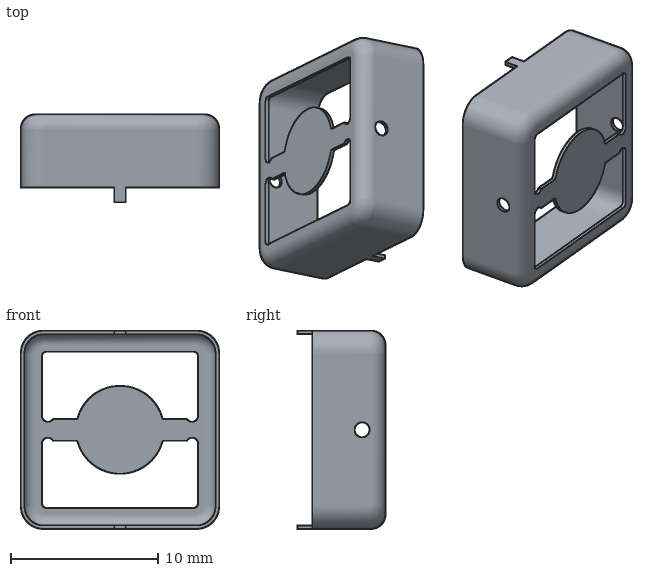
import cadquery as cq
import math

side = 13.5
depth = 5.0
wall = 0.25
corner_radius = 1.55
edge_radius = 1.0

window_side = 10.6
window_corner_radius = 0.3
bar_width = 1.5
disc_radius = 3.0
disc_blend_radius = 0.1
relief_radius = 0.4
relief_depth = 0.2

tab_width = 0.8
tab_length = 1.0

cross_hole_diameter = 1.0
cross_hole_from_back = 1.6

back_y = depth / 2
rim_y = -depth / 2


def rounded_block(width, start_y, end_y, corner, back_edge):
    """Square block along Y with rounded corners and a rounded +Y edge."""
    block = cq.Workplane("XY").box(width, end_y - start_y, width)
    block = block.translate((0, (start_y + end_y) / 2, 0))
    block = block.edges("|Y").fillet(corner)
    return block.faces(">Y").edges().fillet(back_edge)


def make_shell():
    """Cup of even wall thickness, inner and outer roundings concentric."""
    outer = rounded_block(side, rim_y, back_y, corner_radius, edge_radius)
    cavity = rounded_block(
        side - 2 * wall, rim_y, back_y - wall, corner_radius - wall, edge_radius - wall
    )
    return outer.cut(cavity)


def make_window_half():
    """Cutter for the window opening above the bar."""
    half_window = window_side / 2
    half_bar = bar_width / 2

    relief_x = half_window - relief_radius
    relief_z = half_bar - relief_depth + relief_radius
    relief_inner_x = relief_x - math.sqrt(relief_radius**2 - (relief_z - half_bar) ** 2)
    relief_bottom_z = relief_z - relief_radius

    blend_z = half_bar + disc_blend_radius
    blend_x = math.sqrt((disc_radius + disc_blend_radius) ** 2 - blend_z**2)
    blend_angle = math.atan2(blend_z, blend_x)
    disc_x = disc_radius * math.cos(blend_angle)
    disc_z = disc_radius * math.sin(blend_angle)
    toward_disc = blend_angle + math.pi
    toward_bar = math.radians(270)
    mid_angle = (toward_disc + toward_bar) / 2
    blend_mid_x = blend_x + disc_blend_radius * math.cos(mid_angle)
    blend_mid_z = blend_z + disc_blend_radius * math.sin(mid_angle)

    profile = (
        cq.Workplane("XZ", origin=(0, back_y, 0))
        .moveTo(-half_window, half_window)
        .lineTo(-half_window, relief_z)
        .threePointArc((-relief_x, relief_bottom_z), (-relief_inner_x, half_bar))
        .lineTo(-blend_x, half_bar)
        .threePointArc((-blend_mid_x, blend_mid_z), (-disc_x, disc_z))
        .threePointArc((0, disc_radius), (disc_x, disc_z))
        .threePointArc((blend_mid_x, blend_mid_z), (blend_x, half_bar))
        .lineTo(relief_inner_x, half_bar)
        .threePointArc((relief_x, relief_bottom_z), (half_window, relief_z))
        .lineTo(half_window, half_window)
        .close()
    )
    return profile.extrude(wall).faces(">Z").edges("|Y").fillet(window_corner_radius)


def make_tab():
    """Tab on the +Z wall, flush with both wall faces, projecting past the rim."""
    tab = cq.Workplane("XY").box(tab_width, tab_length, wall)
    return tab.translate((0, rim_y - tab_length / 2, (side - wall) / 2))


def make_cross_hole():
    """Round cutter running along X through both side walls."""
    return (
        cq.Workplane("YZ", origin=(-side / 2, back_y - cross_hole_from_back, 0))
        .circle(cross_hole_diameter / 2)
        .extrude(side)
    )


result = make_shell().cut(make_cross_hole())
upper_window = make_window_half()
upper_tab = make_tab()
for turn in (0, 180):
    result = result.cut(upper_window.rotate((0, 0, 0), (0, 1, 0), turn))
    result = result.union(upper_tab.rotate((0, 0, 0), (0, 1, 0), turn))